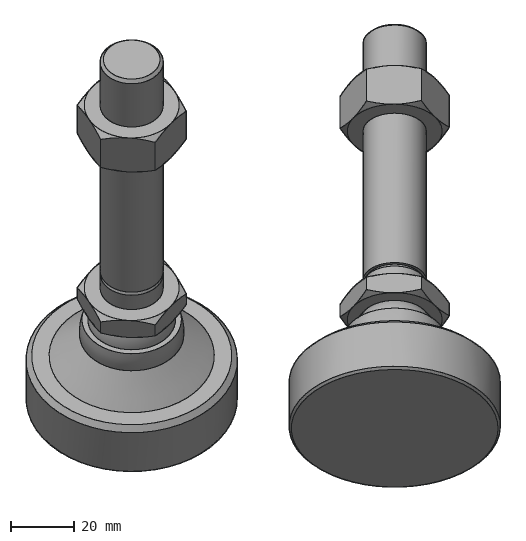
import cadquery as cq
import math

total_height = 149.5

pad_radius = 33.5
pad_height = 19.6
pad_top_chamfer = 1.8
pad_bottom_chamfer = 0.7

cone_base_radius = 26.2
cone_top_z = 28.7
collar_radius = 16.6
collar_center_z = 30.2
collar_top_z = 35.5

ball_radius = 14.2
ball_center_z = 32.6
hex_bottom_z = 41.9
hex_height = 7.5
shank_radius = 10.0
shank_chamfer = 1.0
groove_bottom_z = 55.6
groove_width = 1.3
groove_depth = 0.9

across_flats = 30.0
hex_chamfer_angle = 30.0

nut_bottom_z = 114.5
nut_height = 15.0


def sphere_section_radius(sphere_radius, offset):
    """Radius of the circle cut from a sphere at an offset from its centre."""
    return math.sqrt(sphere_radius**2 - offset**2)


def revolve_profile(profile):
    """Turn a closed (radius, z) profile about the Z axis."""
    return profile.close().revolve(360, (0, 0, 0), (0, 1, 0))


def make_cylinder(radius, bottom_z, height):
    return cq.Workplane("XY").workplane(offset=bottom_z).circle(radius).extrude(height)


def make_ball():
    """Ball with a flat underside that rests on the pad."""
    ball = cq.Workplane("XY").sphere(ball_radius).translate((0, 0, ball_center_z))
    return ball.intersect(make_cylinder(2 * ball_radius, pad_height, 2 * ball_radius))


def make_chamfered_hexagon(bottom_z, height):
    """Hexagonal prism whose corners are cut by a cone at each end."""
    corner_radius = across_flats / math.sqrt(3)
    flat_radius = across_flats / 2
    corner_drop = (corner_radius - flat_radius) * math.tan(math.radians(hex_chamfer_angle))
    top_z = bottom_z + height
    prism = (
        cq.Workplane("XY")
        .workplane(offset=bottom_z)
        .polygon(6, 2 * corner_radius)
        .extrude(height)
        .rotate((0, 0, 0), (0, 0, 1), 30)
    )
    envelope = revolve_profile(
        cq.Workplane("XZ")
        .moveTo(0, bottom_z)
        .lineTo(flat_radius, bottom_z)
        .lineTo(corner_radius, bottom_z + corner_drop)
        .lineTo(corner_radius, top_z - corner_drop)
        .lineTo(flat_radius, top_z)
        .lineTo(0, top_z)
    )
    return prism.intersect(envelope)


def make_pad():
    """Round base with a chamfer on each rim."""
    pad = make_cylinder(pad_radius, 0, pad_height)
    pad = pad.faces(">Z").chamfer(pad_top_chamfer)
    return pad.faces("<Z").chamfer(pad_bottom_chamfer)


def make_socket():
    """Cone with a spherical collar, hollowed to fit the ball; it rests on the pad."""
    collar_bottom_radius = sphere_section_radius(collar_radius, cone_top_z - collar_center_z)
    collar_top_radius = sphere_section_radius(collar_radius, collar_top_z - collar_center_z)
    collar_middle_z = (cone_top_z + collar_top_z) / 2
    collar_middle_radius = sphere_section_radius(collar_radius, collar_middle_z - collar_center_z)
    body = revolve_profile(
        cq.Workplane("XZ")
        .moveTo(0, pad_height)
        .lineTo(cone_base_radius, pad_height)
        .lineTo(collar_bottom_radius, cone_top_z)
        .threePointArc((collar_middle_radius, collar_middle_z), (collar_top_radius, collar_top_z))
        .lineTo(0, collar_top_z)
    )
    return body.cut(make_ball())


def make_stud():
    """Ball, hexagon, neck and shank, with a groove formed by a bevel on the neck under the flat shank end."""
    shank = make_cylinder(shank_radius, ball_center_z, total_height - ball_center_z)
    shank = shank.faces(">Z").chamfer(shank_chamfer)
    groove = revolve_profile(
        cq.Workplane("XZ")
        .moveTo(shank_radius, groove_bottom_z)
        .lineTo(shank_radius - groove_depth, groove_bottom_z + groove_width)
        .lineTo(shank_radius, groove_bottom_z + groove_width)
    )
    hexagon = make_chamfered_hexagon(hex_bottom_z, hex_height)
    return make_ball().union(shank).union(hexagon).cut(groove)


def make_nut():
    """Hexagon nut that fits round the shank."""
    bore = make_cylinder(shank_radius, nut_bottom_z, nut_height)
    return make_chamfered_hexagon(nut_bottom_z, nut_height).cut(bore)


pad = make_pad()
socket = make_socket()
stud = make_stud()
nut = make_nut()

result = cq.Compound.makeCompound([pad.val(), socket.val(), stud.val(), nut.val()])